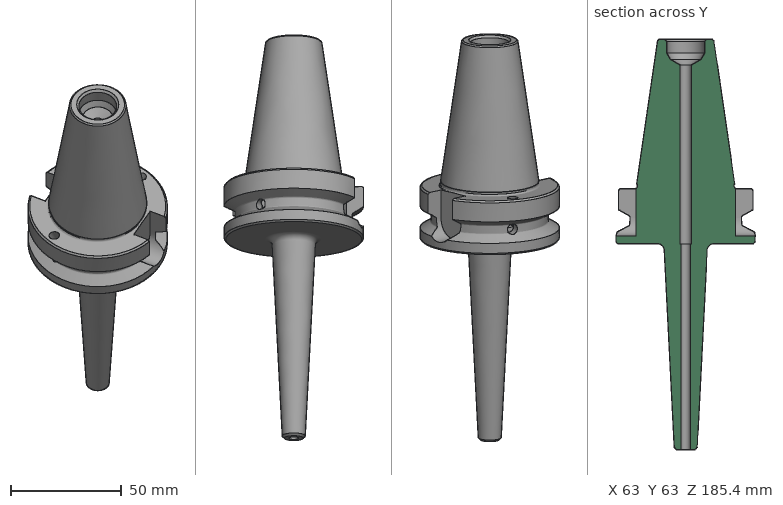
import cadquery as cq
import math

gauge_diameter = 44.45
taper_length = 65.4
taper_ratio = 7 / 24
taper_end_chamfer = 0.6

relief_depth = 0.25
relief_fillet_radius = 0.9

flange_diameter = 63.0
flange_top_z = -2.0
flange_bottom_z = -27.0
flange_edge_chamfer = 0.8
groove_floor_diameter = 53.0
groove_floor_width = 4.2
groove_center_z = -16.6
groove_wall_angle = 30.0
groove_fillet_radius = 0.6

projection_length = 120.0
tip_diameter = 10.5
tip_chamfer = 1.0
neck_half_angle = 2.9
neck_fillet_radius = 3.0

slot_width = 16.1
slot_floor_x = 22.5
slot_bottom_z = -23.4

socket_diameter = 17.0
socket_mouth_chamfer = 1.0
socket_depth = 6.3
seat_diameter = 13.8
seat_edge_angle = 60.0
seat_cone_angle = 30.0
feed_hole_diameter = 5.0
feed_hole_end_z = flange_bottom_z
through_hole_diameter = 4.2

coolant_hole_diameter = 4.5
coolant_circle_radius = 26.7
coolant_tilt = 20.0
coolant_angles = (70.0, 250.0)
cross_hole_diameter = 4.8
cross_hole_depth = 4.5

flange_radius = flange_diameter / 2
groove_floor_radius = groove_floor_diameter / 2
tip_z = -projection_length
selection_margin = 0.1


def make_body():
    """Revolve the outline of the taper, the flange and the neck."""
    gauge_radius = gauge_diameter / 2
    taper_end_radius = gauge_radius - taper_length * taper_ratio / 2
    chamfer_start_radius = taper_end_radius + taper_end_chamfer * taper_ratio / 2
    relief_radius = gauge_radius - relief_depth
    relief_fillet_center = (relief_radius + relief_fillet_radius, flange_top_z + relief_fillet_radius)
    relief_fillet_mid = (
        relief_fillet_center[0] - relief_fillet_radius * math.cos(math.pi / 4),
        relief_fillet_center[1] - relief_fillet_radius * math.sin(math.pi / 4),
    )
    rim_radius = flange_radius - flange_edge_chamfer

    wall_slope = math.tan(math.radians(groove_wall_angle))
    wall_height = (flange_radius - groove_floor_radius) * wall_slope
    floor_top_z = groove_center_z + groove_floor_width / 2
    floor_bottom_z = groove_center_z - groove_floor_width / 2

    neck_angle = math.radians(neck_half_angle)
    tip_radius = tip_diameter / 2
    cone_bottom_z = tip_z + tip_chamfer
    fillet_center_z = flange_bottom_z - neck_fillet_radius
    fillet_low_z = fillet_center_z - neck_fillet_radius * math.sin(neck_angle)
    fillet_low_radius = tip_radius + (fillet_low_z - cone_bottom_z) * math.tan(neck_angle)
    fillet_center_radius = fillet_low_radius + neck_fillet_radius * math.cos(neck_angle)
    fillet_mid_angle = (math.pi / 2 - neck_angle) / 2
    fillet_mid = (
        fillet_center_radius - neck_fillet_radius * math.cos(fillet_mid_angle),
        fillet_center_z + neck_fillet_radius * math.sin(fillet_mid_angle),
    )

    outline = (
        cq.Workplane("XZ")
        .moveTo(0, taper_length)
        .lineTo(taper_end_radius - taper_end_chamfer, taper_length)
        .lineTo(chamfer_start_radius, taper_length - taper_end_chamfer)
        .lineTo(gauge_radius, 0)
        .lineTo(relief_radius, -relief_depth)
        .lineTo(relief_radius, relief_fillet_center[1])
        .threePointArc(relief_fillet_mid, (relief_fillet_center[0], flange_top_z))
        .lineTo(rim_radius, flange_top_z)
        .lineTo(flange_radius, flange_top_z - flange_edge_chamfer)
        .lineTo(flange_radius, floor_top_z + wall_height)
        .lineTo(groove_floor_radius, floor_top_z)
        .lineTo(groove_floor_radius, floor_bottom_z)
        .lineTo(flange_radius, floor_bottom_z - wall_height)
        .lineTo(flange_radius, flange_bottom_z + flange_edge_chamfer)
        .lineTo(rim_radius, flange_bottom_z)
        .lineTo(fillet_center_radius, flange_bottom_z)
        .threePointArc(fillet_mid, (fillet_low_radius, fillet_low_z))
        .lineTo(tip_radius, cone_bottom_z)
        .lineTo(tip_radius - tip_chamfer, tip_z)
        .lineTo(0, tip_z)
        .close()
    )
    body = outline.revolve(360, (0, 0, 0), (0, 1, 0))
    return fillet_groove_floor(body, floor_bottom_z, floor_top_z)


def fillet_groove_floor(body, floor_bottom_z, floor_top_z):
    """Round the two corners where the groove floor meets its sloping walls."""
    reach = groove_floor_radius + selection_margin
    corner_box = cq.selectors.BoxSelector(
        (-reach, -reach, floor_bottom_z - selection_margin),
        (reach, reach, floor_top_z + selection_margin),
        boundingbox=True,
    )
    return body.edges(corner_box).edges("%CIRCLE").fillet(groove_fillet_radius)


def make_axial_bore():
    """Revolve the stepped socket in the taper end and the hole that passes through the part."""
    socket_radius = socket_diameter / 2
    seat_radius = seat_diameter / 2
    feed_radius = feed_hole_diameter / 2
    hole_radius = through_hole_diameter / 2
    socket_end_z = taper_length - socket_depth
    seat_z = socket_end_z - (socket_radius - seat_radius) * math.tan(math.radians(seat_edge_angle))
    cone_end_z = seat_z - (seat_radius - feed_radius) * math.tan(math.radians(seat_cone_angle))
    outline = (
        cq.Workplane("XZ")
        .moveTo(0, taper_length)
        .lineTo(socket_radius + socket_mouth_chamfer, taper_length)
        .lineTo(socket_radius, taper_length - socket_mouth_chamfer)
        .lineTo(socket_radius, socket_end_z)
        .lineTo(seat_radius, seat_z)
        .lineTo(feed_radius, cone_end_z)
        .lineTo(feed_radius, feed_hole_end_z)
        .lineTo(hole_radius, feed_hole_end_z)
        .lineTo(hole_radius, tip_z)
        .lineTo(0, tip_z)
        .close()
    )
    return outline.revolve(360, (0, 0, 0), (0, 1, 0))


def make_drive_slot(side):
    """Make the round-bottomed slot on the +X (side = 1) or -X (side = -1) side."""
    half_width = slot_width / 2
    arc_center_z = slot_bottom_z + half_width
    open_end_z = flange_top_z + relief_fillet_radius
    outline = (
        cq.Workplane("YZ", origin=(side * slot_floor_x, 0, 0))
        .moveTo(-half_width, open_end_z)
        .lineTo(-half_width, arc_center_z)
        .threePointArc((0, slot_bottom_z), (half_width, arc_center_z))
        .lineTo(half_width, open_end_z)
        .close()
    )
    return outline.extrude(side * (flange_radius - slot_floor_x))


def make_coolant_hole(angle):
    """Make the slanting hole and the radial hole that it meets, at one angle around Z."""
    hole_radius = coolant_hole_diameter / 2
    tilt = math.radians(coolant_tilt)
    slant_length = (flange_top_z - groove_center_z) / math.cos(tilt)
    inward_down = cq.Vector(-math.sin(tilt), 0, -math.cos(tilt))
    overshoot = hole_radius
    start = cq.Vector(coolant_circle_radius, 0, flange_top_z) - inward_down * overshoot
    slant_hole = cq.Workplane(
        cq.Solid.makeCylinder(hole_radius, slant_length + overshoot, start, inward_down)
    )
    cross_hole = (
        cq.Workplane("YZ", origin=(groove_floor_radius - cross_hole_depth, 0, groove_center_z))
        .circle(cross_hole_diameter / 2)
        .extrude(cross_hole_depth + groove_fillet_radius)
    )
    return slant_hole.union(cross_hole).rotate((0, 0, 0), (0, 0, 1), angle)


result = make_body().cut(make_axial_bore())

for slot_side in (1, -1):
    result = result.cut(make_drive_slot(slot_side))

for coolant_angle in coolant_angles:
    result = result.cut(make_coolant_hole(coolant_angle))